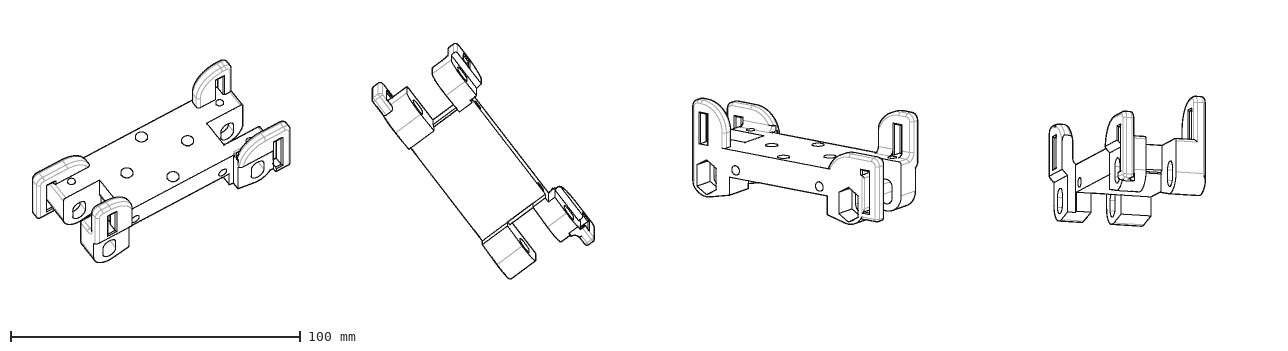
import cadquery as cq
import math

body_end = 36.95
bar_width = 27.3
lug_width = 30.1
lug_start = 22.4
body_top = 18.4
bar_bottom = 8.6
leg_inner = {1: 20.7, -1: 21.4}
leg_slope = math.radians(13)
edge_round = 1.0
strap_edge_round = 0.5

gap_left = 10.9
gap_right = 21.9
gap_depth_y = 22.05
gap_lip_top = 9.65
gap_lip_low = 9.1

axle_y = 30.5
leg_radius = body_end - axle_y
axle_z = 7.0
oval_length = 8.8
oval_width = 5.2
nut_width = 8.3
nut_length = 12.4
nut_depth = 7.7

cross_hole_diameter = 3.3
cross_hole_y = 18.0
cross_hole_z = 11.45
clearance = 0.9
top_hole_diameter = 4.2
top_hole_depth = 6.0
top_hole_center_x = 13.5
top_hole_step_x = 10.0
top_hole_step_y = 12.5
drill_tip_angle = math.radians(118)
left_pin_x = 6.1
left_pin_diameter = 2.7
right_pin_x = 25.4
right_pin_diameter = 2.8

left_plate = 4.2
right_plate = 4.0
outer_x = 32.1
right_plate_x = outer_x - right_plate
part_end = 43.1
plate_top = 33.9
back_left_plate_z = 25.0
far_right_plate_z = 25.9
plate_bottom = 2.5
corner_radius = 2.6
sweep_radius = 10.1
upright_bottom = 8.6
plate_root = 34.45
plate_heel = 10.3
left_upright_inner = 22.7
left_overhang_inner = 20.75
right_overhang_inner = 22.4
right_upright_inner = 21.2

slot_width = 3.9
slot_flare = 0.4
upright_slot_top = 29.8
left_slot_y = 31.9
right_slot_y = 30.7
low_slot_y = 37.6
low_slot_bottom = 4.9
back_left_slot_top = 20.5
far_right_slot_top = 21.5

blend_radius = 2.0
blend_margin = 1.0
relief_bottom = 14.55


def box(x0, x1, y0, y1, z0, z1):
    return cq.Workplane("XY").box(x1 - x0, y1 - y0, z1 - z0, centered=False).translate((x0, y0, z0))


def make_end_leg(side):
    """Leg block of one end: round nose below the axle and a sloping underside."""
    inner = leg_inner[side]
    nose_y = axle_y - leg_radius * math.sin(leg_slope)
    nose_z = leg_radius * (1 - math.cos(leg_slope))
    inner_z = nose_z + (nose_y - inner) * math.tan(leg_slope)
    mid_angle = (math.pi / 2 - leg_slope) / 2
    mid_point = (
        side * (axle_y + leg_radius * math.sin(mid_angle)),
        leg_radius * (1 - math.cos(mid_angle)),
    )
    return (
        cq.Workplane("YZ")
        .moveTo(side * inner, body_top)
        .lineTo(side * inner, inner_z)
        .lineTo(side * nose_y, nose_z)
        .threePointArc(mid_point, (side * body_end, leg_radius))
        .lineTo(side * body_end, body_top)
        .close()
        .extrude(lug_width)
        .edges(cq.selectors.NearestToPointSelector((lug_width / 2, side * body_end, body_top)))
        .fillet(edge_round)
    )


def make_gap(side):
    """Clevis gap, with a sloping lip under its floor down to the leg's inner side."""
    inner = leg_inner[side]
    return (
        cq.Workplane("YZ", origin=(gap_left, 0, 0))
        .moveTo(side * part_end, body_top + clearance)
        .lineTo(side * gap_depth_y, body_top + clearance)
        .lineTo(side * gap_depth_y, gap_lip_top)
        .lineTo(side * inner, gap_lip_low)
        .lineTo(side * inner, -clearance)
        .lineTo(side * part_end, -clearance)
        .close()
        .extrude(gap_right - gap_left)
    )


def make_corner_trim(side, radius):
    """Material removed to round the upright left edge of one body end."""
    corner = box(0, radius, body_end - radius, body_end, 0, body_top)
    rounding = (
        cq.Workplane("XY")
        .center(radius, body_end - radius)
        .circle(radius)
        .extrude(body_top)
    )
    trim = corner.cut(rounding)
    return trim if side > 0 else trim.mirror("XZ")


def make_body():
    body = box(0, lug_width, -leg_inner[-1], leg_inner[1], bar_bottom, body_top)
    for side in (1, -1):
        body = body.union(make_end_leg(side)).cut(make_gap(side))
    body = body.cut(box(bar_width, outer_x, -lug_start, lug_start, -clearance, body_top + clearance))

    body = body.cut(make_corner_trim(1, edge_round))
    return body.cut(make_corner_trim(-1, strap_edge_round))


def make_plate(x, thickness, side, end, inner, bottom, top):
    """Plate with a small outer corner, a large inner sweep and rounded rims; end and inner are |Y|."""
    inset = 1 - math.sqrt(0.5)
    corner_mid = (side * (end - corner_radius * inset), top - corner_radius * inset)
    sweep_mid = (side * (inner + sweep_radius * inset), top - sweep_radius * inset)
    plate = (
        cq.Workplane("YZ", origin=(x, 0, 0))
        .moveTo(side * plate_root, bottom)
        .lineTo(side * end, bottom)
        .lineTo(side * end, top - corner_radius)
        .threePointArc(corner_mid, (side * (end - corner_radius), top))
        .lineTo(side * (inner + sweep_radius), top)
        .threePointArc(sweep_mid, (side * inner, top - sweep_radius))
        .lineTo(side * inner, plate_heel)
        .close()
        .extrude(thickness)
    )
    low_corner = cq.selectors.NearestToPointSelector((x + thickness / 2, side * end, bottom))
    rims = plate.faces("<X or >X").edges()
    return rims.add(plate.edges(low_corner)).fillet(edge_round)


def make_slot(x0, x1, y, bottom, top):
    """Strap slot between the plate faces x0 and x1, flared at both faces."""
    length = top - bottom
    middle_z = (top + bottom) / 2
    half_width = slot_width / 2 - slot_flare
    slot = box(x0, x1, y - half_width, y + half_width, bottom + slot_flare, top - slot_flare)
    slot = slot.union(box(x0 - blend_radius, x0, y - slot_width / 2, y + slot_width / 2, bottom, top))
    for face_x, direction in ((x0, 1), (x1, -1)):
        flare = (
            cq.Workplane("YZ", origin=(face_x, y, middle_z))
            .rect(slot_width, length)
            .workplane(offset=direction * slot_flare)
            .rect(slot_width - 2 * slot_flare, length - 2 * slot_flare)
            .loft()
        )
        slot = slot.union(flare)
    return slot


def make_blend(side, rounded_ends):
    """Concave blend between the body top and a right-hand plate, with rounded ends at the given |Y|."""
    arc_x = right_plate_x - blend_radius
    arc_z = body_top + blend_radius
    arc_inset = blend_radius * math.sqrt(0.5)
    far_x = right_plate_x + blend_margin
    low_z = body_top - blend_margin
    length = body_end - lug_start
    block = (
        cq.Workplane("XZ", origin=(0, side * lug_start, 0))
        .moveTo(arc_x, low_z)
        .lineTo(arc_x, body_top)
        .threePointArc((arc_x + arc_inset, arc_z - arc_inset), (right_plate_x, arc_z))
        .lineTo(far_x, arc_z)
        .lineTo(far_x, low_z)
        .close()
        .extrude(-side * length)
    )
    for end in rounded_ends:
        end_arc_middle = (arc_x + arc_inset, side * end, arc_z - arc_inset)
        block = block.edges(cq.selectors.NearestToPointSelector(end_arc_middle)).fillet(edge_round)
    return block


def make_axle_opening(side):
    """Oval axle slot through both legs and a stretched hexagonal nut pocket in the left side."""
    center = (0, side * axle_y, axle_z)
    oval = cq.Workplane("YZ", origin=center).slot2D(oval_length, oval_width, 90).extrude(lug_width)
    half_width = nut_width / 2
    half_length = nut_length / 2
    shoulder = half_length - half_width * math.tan(math.pi / 6)
    pocket = (
        cq.Workplane("YZ", origin=center)
        .polyline([
            (0, half_length),
            (half_width, shoulder),
            (half_width, -shoulder),
            (0, -half_length),
            (-half_width, -shoulder),
            (-half_width, shoulder),
        ])
        .close()
        .extrude(nut_depth)
    )
    return oval.union(pocket)


def make_pin_hole(x, side, diameter):
    """Hole from the body top down into the axle opening."""
    return (
        cq.Workplane("XY", origin=(x, side * axle_y, axle_z))
        .circle(diameter / 2)
        .extrude(body_top - axle_z + blend_radius)
    )


def make_drilled_hole(x, y):
    """Blind hole in the body top with a conical floor."""
    radius = top_hole_diameter / 2
    floor_z = body_top - top_hole_depth
    tip_z = floor_z - radius / math.tan(drill_tip_angle / 2)
    return (
        cq.Workplane("XZ")
        .polyline([(0, tip_z), (radius, floor_z), (radius, body_top), (0, body_top)])
        .close()
        .revolve(360, (0, 0, 0), (0, 1, 0))
        .translate((x, y, 0))
    )


left_upright = make_plate(
    0, left_plate, 1, body_end, left_upright_inner, upright_bottom, plate_top
).cut(make_slot(0, left_plate, left_slot_y, body_top - slot_flare, upright_slot_top))
left_overhang = make_plate(
    0, left_plate, -1, part_end, left_overhang_inner, plate_bottom, back_left_plate_z
).cut(make_slot(0, left_plate, -low_slot_y, low_slot_bottom, back_left_slot_top))

right_overhang = make_plate(
    right_plate_x, right_plate, 1, part_end, right_overhang_inner, plate_bottom, far_right_plate_z
)
right_overhang_slot = make_slot(right_plate_x, outer_x, low_slot_y, low_slot_bottom, far_right_slot_top)
right_upright = make_plate(
    right_plate_x, right_plate, -1, body_end, right_upright_inner, upright_bottom, plate_top
)
right_upright_slot = make_slot(
    right_plate_x, outer_x, -right_slot_y, body_top - slot_flare, upright_slot_top
)
right_parts = [
    right_overhang.cut(right_overhang_slot),
    make_blend(1, (body_end, lug_start)).cut(right_overhang_slot),
    right_upright.cut(right_upright_slot),
    make_blend(-1, (body_end,)).cut(right_upright_slot),
]

middle_clearance = box(bar_width - blend_margin, outer_x, -lug_start, lug_start, 0, plate_top)
relief_top = relief_bottom + outer_x - lug_width
relief = (
    cq.Workplane("XZ", origin=(0, body_end, 0))
    .polyline([(lug_width, 0), (lug_width, relief_bottom), (outer_x, relief_top), (outer_x, 0)])
    .close()
    .extrude(2 * body_end)
)

web_x = right_plate_x - blend_radius
web_y = body_end + blend_radius
web_inset = blend_radius * math.sqrt(0.5)
web = (
    cq.Workplane("XY", origin=(0, 0, plate_bottom))
    .moveTo(web_x, axle_y)
    .lineTo(web_x, body_end)
    .threePointArc((web_x + web_inset, web_y - web_inset), (right_plate_x, web_y))
    .lineTo(lug_width, web_y)
    .lineTo(lug_width, axle_y)
    .close()
    .extrude(low_slot_bottom - plate_bottom)
)

result = make_body().union(left_upright).union(left_overhang).union(web)
for part in right_parts:
    result = result.union(part.cut(middle_clearance).cut(relief))

for side in (1, -1):
    result = result.cut(make_axle_opening(side))
    result = result.cut(make_pin_hole(left_pin_x, side, left_pin_diameter))
    result = result.cut(make_pin_hole(right_pin_x, side, right_pin_diameter))
    cross_hole = (
        cq.Workplane("YZ", origin=(0, side * cross_hole_y, cross_hole_z))
        .circle(cross_hole_diameter / 2)
        .extrude(bar_width)
    )
    result = result.cut(cross_hole)
    result = result.cut(make_drilled_hole(top_hole_center_x, side * top_hole_step_y))
    result = result.cut(make_drilled_hole(top_hole_center_x + side * top_hole_step_x, 0))